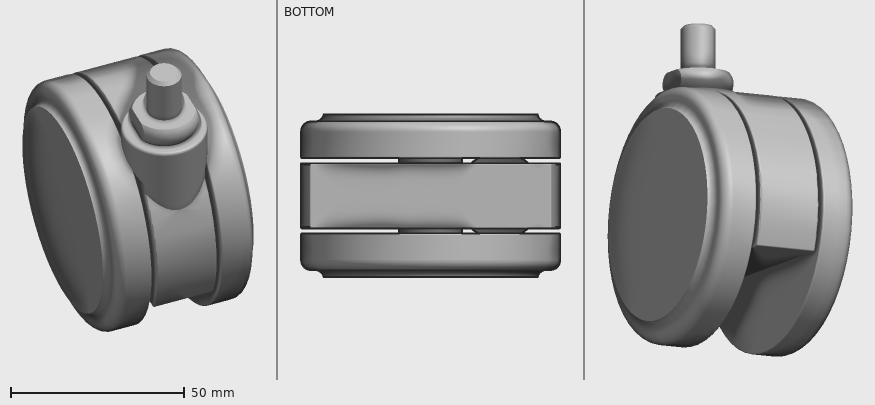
import cadquery as cq
import math


OVERALL_HEIGHT = 98.5
OVERALL_WIDTH = 47.0
WHEEL_DIAMETER = 75.0

WHEEL_RADIUS = WHEEL_DIAMETER / 2
WHEEL_INNER_Y = 10.8
WHEEL_SHOULDER_Y = 21.5
WHEEL_OUTER_Y = OVERALL_WIDTH / 2
WHEEL_INNER_ROUND = 0.5
RIM_ROUND = 3.0
COVER_RADIUS = 30.9
COVE_RADIUS = 2.5
HUB_RADIUS = 9.2
HUB_ROUND = 0.5

HOUSING_HALF_WIDTH = 9.5
HOUSING_BOTTOM_Z = -13.9
HOUSING_ROUND = 0.5
WHEEL_CLEARANCE_RADIUS = 39.5

SWIVEL_X = 20.0
COLLAR_RADIUS = 12.5
COLLAR_ROUND = 1.0
STEM_TOP_Z = OVERALL_HEIGHT - WHEEL_RADIUS
COLLAR_TOP_Z = STEM_TOP_Z - 20.3
NUT_TOP_Z = STEM_TOP_Z - 14.0
NUT_EDGE_RADIUS = 9.2
NUT_BULGE_RADIUS = 10.3
NUT_ACROSS_FLATS = 17.0
STEM_RADIUS = 5.0
STEM_CHAMFER = 1.0


def circle_point(center_x, center_y, radius, angle):
    """Point on a circle at the given angle in degrees."""
    turn = math.radians(angle)
    return center_x + radius * math.cos(turn), center_y + radius * math.sin(turn)


def make_wheel(side):
    """Wheel with its hub boss; side is -1 for the -Y wheel and +1 for the +Y wheel."""
    cove_center_y = WHEEL_SHOULDER_Y + COVE_RADIUS
    cove_width = math.sqrt(COVE_RADIUS**2 - (cove_center_y - WHEEL_OUTER_Y) ** 2)
    cove_center_r = COVER_RADIUS + cove_width
    rim_center_r = WHEEL_RADIUS - RIM_ROUND
    rim_center_y = WHEEL_SHOULDER_Y - RIM_ROUND
    inner_center_r = WHEEL_RADIUS - WHEEL_INNER_ROUND
    inner_center_y = WHEEL_INNER_Y + WHEEL_INNER_ROUND
    hub_center_r = HUB_RADIUS - HUB_ROUND
    hub_center_y = HOUSING_HALF_WIDTH + HUB_ROUND
    wheel = (
        cq.Workplane("XY")
        .moveTo(0, HOUSING_HALF_WIDTH)
        .lineTo(hub_center_r, HOUSING_HALF_WIDTH)
        .threePointArc(circle_point(hub_center_r, hub_center_y, HUB_ROUND, -45), (HUB_RADIUS, hub_center_y))
        .lineTo(HUB_RADIUS, WHEEL_INNER_Y)
        .lineTo(inner_center_r, WHEEL_INNER_Y)
        .threePointArc(
            circle_point(inner_center_r, inner_center_y, WHEEL_INNER_ROUND, -45),
            (WHEEL_RADIUS, inner_center_y),
        )
        .lineTo(WHEEL_RADIUS, rim_center_y)
        .threePointArc(
            circle_point(rim_center_r, rim_center_y, RIM_ROUND, 45),
            (rim_center_r, WHEEL_SHOULDER_Y),
        )
        .lineTo(cove_center_r, WHEEL_SHOULDER_Y)
        .threePointArc(
            circle_point(cove_center_r, cove_center_y, COVE_RADIUS, 225),
            (COVER_RADIUS, WHEEL_OUTER_Y),
        )
        .lineTo(0, WHEEL_OUTER_Y)
        .close()
        .revolve(360, (0, 0), (0, 1))
    )
    return wheel if side > 0 else wheel.mirror("XZ")


def make_housing_drum():
    """Drum between the wheels, cut flat below, with all of its edges rounded."""
    drum = cq.Workplane("XZ").circle(WHEEL_RADIUS).extrude(HOUSING_HALF_WIDTH, both=True)
    below_flat = (
        cq.Workplane("XY", origin=(0, 0, HOUSING_BOTTOM_Z))
        .rect(WHEEL_DIAMETER, 2 * HOUSING_HALF_WIDTH)
        .extrude(-WHEEL_RADIUS)
    )
    drum = drum.cut(below_flat)
    drum = drum.faces("<Z").edges("|Y").fillet(HOUSING_ROUND)
    return drum.faces("<Y or >Y").edges().fillet(HOUSING_ROUND)


def make_collar():
    """Upright swivel collar, cut back beside the drum to clear both wheels."""
    collar = (
        cq.Workplane("XY", origin=(SWIVEL_X, 0, 0))
        .circle(COLLAR_RADIUS)
        .extrude(COLLAR_TOP_Z)
        .faces(">Z")
        .edges()
        .fillet(COLLAR_ROUND)
    )
    for side in (-1, 1):
        clearance = (
            cq.Workplane("XZ", origin=(0, side * HOUSING_HALF_WIDTH, 0))
            .circle(WHEEL_CLEARANCE_RADIUS)
            .extrude(-side * COLLAR_RADIUS)
        )
        collar = collar.cut(clearance)
    return collar


def make_housing():
    """Drum and swivel collar as one body."""
    return make_housing_drum().union(make_collar())


def make_stem():
    """Round stem on a bulged nut with two wrench flats, seated on the collar."""
    nut_middle_z = (COLLAR_TOP_Z + NUT_TOP_Z) / 2
    stem = (
        cq.Workplane("XZ", origin=(SWIVEL_X, 0, 0))
        .moveTo(0, COLLAR_TOP_Z)
        .lineTo(NUT_EDGE_RADIUS, COLLAR_TOP_Z)
        .threePointArc((NUT_BULGE_RADIUS, nut_middle_z), (NUT_EDGE_RADIUS, NUT_TOP_Z))
        .lineTo(STEM_RADIUS, NUT_TOP_Z)
        .lineTo(STEM_RADIUS, STEM_TOP_Z - STEM_CHAMFER)
        .lineTo(STEM_RADIUS - STEM_CHAMFER, STEM_TOP_Z)
        .lineTo(0, STEM_TOP_Z)
        .close()
        .revolve(360, (0, 0), (0, 1))
    )
    between_flats = (
        cq.Workplane("XY", origin=(SWIVEL_X, 0, COLLAR_TOP_Z))
        .rect(2 * NUT_BULGE_RADIUS, NUT_ACROSS_FLATS)
        .extrude(STEM_TOP_Z - COLLAR_TOP_Z)
    )
    return stem.intersect(between_flats)


wheels = [make_wheel(side) for side in (-1, 1)]
housing = make_housing()
stem = make_stem()

result = cq.Compound.makeCompound([*[wheel.val() for wheel in wheels], housing.val(), stem.val()])